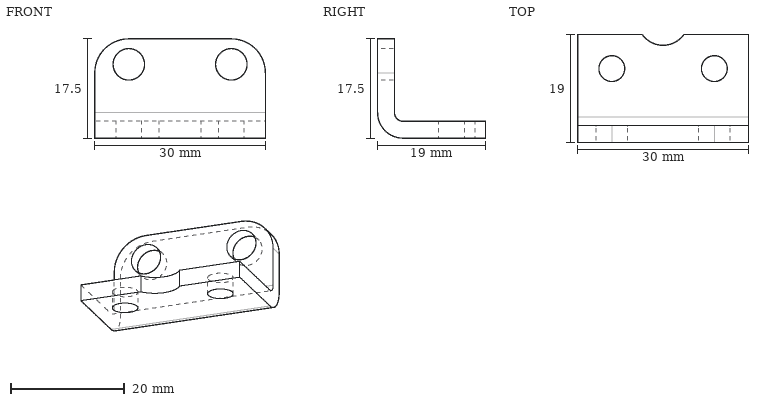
import cadquery as cq

width = 30.0
depth = 19.0
height = 17.5
thickness = 3.0

inner_bend_radius = 1.5
outer_bend_radius = inner_bend_radius + thickness

corner_radius = 6.0
hole_spacing = 18.0
flange_hole_diameter = 5.5
flange_hole_height = 13.0

base_hole_diameter = 4.5
base_hole_setback = 13.0
notch_radius = 4.5
notch_depth = 1.9


def bent_plate():
    """L profile extruded along X, front face at y = 0 and underside at z = 0."""
    profile = (
        cq.Workplane("YZ")
        .polyline([
            (0, 0),
            (depth, 0),
            (depth, thickness),
            (thickness, thickness),
            (thickness, height),
            (0, height),
        ])
        .close()
        .extrude(width / 2, both=True)
    )
    inner_edge = cq.selectors.NearestToPointSelector((0, thickness, thickness))
    outer_edge = cq.selectors.NearestToPointSelector((0, 0, 0))
    bent = profile.edges("|X").edges(inner_edge).fillet(inner_bend_radius)
    return bent.edges("|X").edges(outer_edge).fillet(outer_bend_radius)


def hole_pair(plane, distance, diameter, length):
    """Two cylinders spaced along X at the given distance from the bend's outer faces."""
    centers = [(-hole_spacing / 2, distance), (hole_spacing / 2, distance)]
    return cq.Workplane(plane).pushPoints(centers).circle(diameter / 2).extrude(length)


bracket = bent_plate().edges("|Y and >Z").fillet(corner_radius)

flange_holes = hole_pair("XZ", flange_hole_height, flange_hole_diameter, -thickness)
base_holes = hole_pair("XY", base_hole_setback, base_hole_diameter, thickness)

notch_center_y = depth - notch_depth + notch_radius
notch = cq.Workplane("XY").center(0, notch_center_y).circle(notch_radius).extrude(thickness)

result = bracket.cut(flange_holes).cut(base_holes).cut(notch)